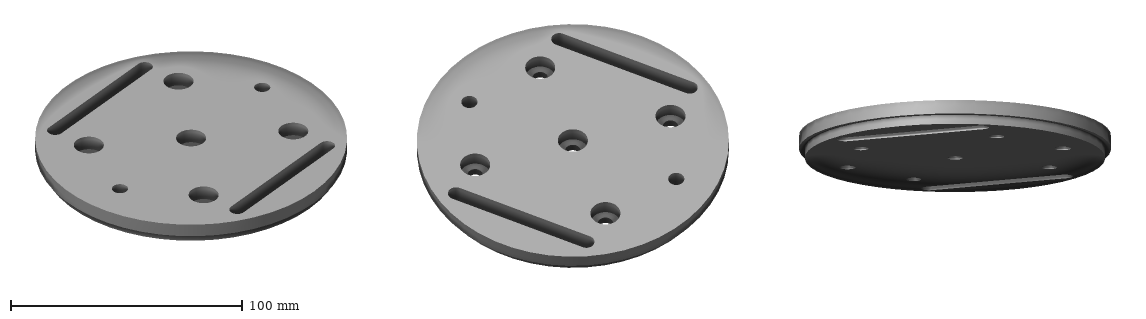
import cadquery as cq

flange_diameter = 135.0
flange_thickness = 6.0
spigot_diameter = 130.0
spigot_height = 4.0
total_height = flange_thickness + spigot_height

screw_hole_diameter = 6.6
counterbore_diameter = 13.0
counterbore_depth = 6.5
screw_square_side = 63.0

plain_hole_diameter = 7.0
slot_width = 7.0
slot_length = 70.0
mounting_radius = 50.0


def make_disc():
    spigot = cq.Workplane("XY").circle(spigot_diameter / 2).extrude(spigot_height)
    flange = (
        cq.Workplane("XY")
        .workplane(offset=spigot_height)
        .circle(flange_diameter / 2)
        .extrude(flange_thickness)
    )
    return spigot.union(flange)


def top_plane():
    return cq.Workplane("XY").workplane(offset=total_height)


def screw_hole_cutter():
    half_side = screw_square_side / 2
    corners = [(x, y) for x in (-half_side, half_side) for y in (-half_side, half_side)]
    centers = [(0, 0)] + corners
    shafts = top_plane().pushPoints(centers).circle(screw_hole_diameter / 2).extrude(-total_height)
    counterbores = (
        top_plane().pushPoints(centers).circle(counterbore_diameter / 2).extrude(-counterbore_depth)
    )
    return shafts.union(counterbores)


def plain_hole_cutter():
    centers = [(0, -mounting_radius), (0, mounting_radius)]
    return top_plane().pushPoints(centers).circle(plain_hole_diameter / 2).extrude(-total_height)


def slot_cutter():
    centers = [(-mounting_radius, 0), (mounting_radius, 0)]
    return top_plane().pushPoints(centers).slot2D(slot_length, slot_width, 90).extrude(-total_height)


result = make_disc().cut(screw_hole_cutter()).cut(plain_hole_cutter()).cut(slot_cutter())